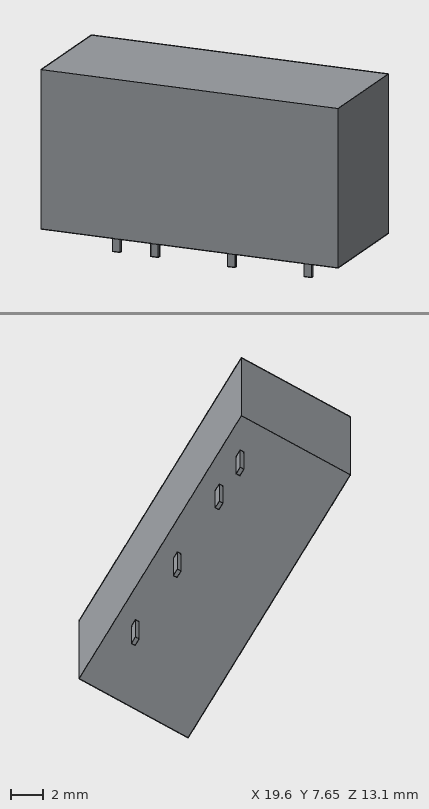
import cadquery as cq

housing_length = 19.65
housing_depth = 7.65
housing_height = 10.14

pin_width = 0.5
pin_thickness = 0.25
pin_length = 3.0
pin_pitch = 2.53
first_pin_x = -7.62
pin_row_setback = 1.18
pin_row_y = housing_depth / 2 - pin_row_setback
occupied_positions = (0, 1, 3, 5)


def make_housing():
    return cq.Workplane("XY").box(
        housing_length, housing_depth, housing_height, centered=(True, True, False)
    )


def make_pin(position):
    """One pin whose top end meets the underside of the housing."""
    pin_x = first_pin_x + position * pin_pitch
    return (
        cq.Workplane("XY")
        .center(pin_x, pin_row_y)
        .rect(pin_width, pin_thickness)
        .extrude(-pin_length)
    )


housing = make_housing()
pins = [make_pin(position) for position in occupied_positions]

result = cq.Compound.makeCompound([housing.val(), *[pin.val() for pin in pins]])